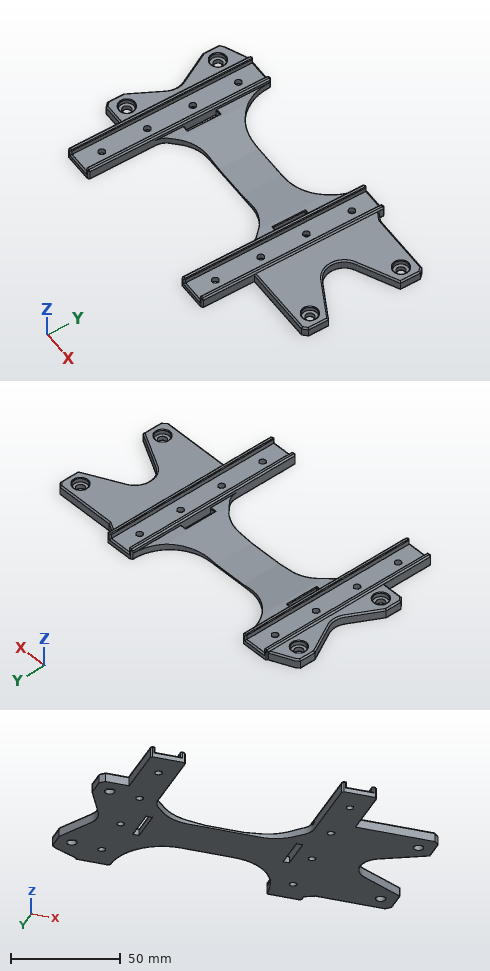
import cadquery as cq

mount_pitch_x = 150.0
mount_pitch_y = 50.0
mount_hole_diameter = 4.7
mount_bore_diameter = 8.0
mount_bore_depth = 2.5
rim_chamfer = 0.4
chamfer_angle = 45.0

rail_length = 100.5
rail_width = 17.0
rail_height = 5.8
rail_pitch = 93.0
rail_mid_x = -13.55
rail_mid_y = -11.5
rail_hole_mid_y = -11.25
channel_width = 12.3
channel_floor = 3.0
rail_chamfer = 0.8
rail_hole_diameter = 3.4
rail_hole_pitch = 25.0
rail_hole_count = 4

plate_thickness = 5.0
plate_chamfer = 0.8
plate_corner = 2.3
plate_margin_x = 7.4
plate_margin_y = 8.0
plate_x = mount_pitch_x / 2 + plate_margin_x
plate_y = mount_pitch_y / 2 + plate_margin_y
notch_radius = 10.0
left_notch_mouth = 21.7
left_notch_apex_x = -70.6
right_notch_mouth = 19.7
right_notch_apex_x = 43.9
left_top_corner_x = -80.4
left_top_corner_y = 32.3
left_rise_slope = 0.46
right_top_corner_x = 46.3
right_rise_slope = 0.50

bridge_top_y = 12.6
bridge_bottom_y = -9.3
bridge_top_radius = 25.0
bridge_bottom_bevel = 12.0
bridge_bottom_radius = 20.0
bridge_foot_radius = 9.0
bridge_middle_thickness = 1.0
bridge_end_thickness = 3.5
bridge_middle_half = 9.4
bridge_slope_half = 32.8

slot_length = 17.6
slot_mid_y = -0.5
slot_width = 3.0

left_rail_x = rail_mid_x - rail_pitch / 2
right_rail_x = rail_mid_x + rail_pitch / 2
bridge_half = (rail_pitch - rail_width) / 2
rail_wall = (rail_width - channel_width) / 2

wall_overlap = rail_wall / 2
left_plate_end = left_rail_x - rail_width / 2 + wall_overlap
right_plate_end = right_rail_x + rail_width / 2 - wall_overlap


def make_plate(outline, notch_apex_x):
    plate = cq.Workplane("XY").polyline(outline).close().extrude(plate_thickness)
    apex = cq.selectors.NearestToPointSelector((notch_apex_x, 0, plate_thickness / 2))
    plate = plate.edges("|Z").edges(apex).fillet(notch_radius)
    return plate.faces(">Z").edges().chamfer(plate_chamfer)


def make_left_plate():
    rise = (left_plate_end - left_top_corner_x) * left_rise_slope
    outline = [
        (left_plate_end, -plate_y),
        (-plate_x + plate_corner, -plate_y),
        (-plate_x, -plate_y + plate_corner),
        (-plate_x, -left_notch_mouth),
        (left_notch_apex_x, 0),
        (-plate_x, left_notch_mouth),
        (-plate_x, plate_y - plate_corner),
        (left_top_corner_x, left_top_corner_y),
        (left_plate_end, left_top_corner_y + rise),
    ]
    return make_plate(outline, left_notch_apex_x)


def make_right_plate():
    rise = (right_top_corner_x - right_plate_end) * right_rise_slope
    outline = [
        (right_plate_end, -plate_y),
        (plate_x - plate_corner, -plate_y),
        (plate_x, -plate_y + plate_corner),
        (plate_x, -right_notch_mouth),
        (right_notch_apex_x, 0),
        (plate_x, right_notch_mouth),
        (plate_x, plate_y - plate_corner),
        (plate_x - plate_corner, plate_y),
        (right_top_corner_x, plate_y),
        (right_plate_end, plate_y + rise),
    ]
    return make_plate(outline, right_notch_apex_x)


def make_bridge():
    half = bridge_half
    edge = half + wall_overlap
    top_straight = half - bridge_top_radius
    upper_end = bridge_top_y + bridge_top_radius
    bevel_x = half - bridge_bottom_bevel
    bevel_y = bridge_bottom_y - bridge_bottom_bevel
    lower_end = bevel_y - bridge_foot_radius
    plan = (
        cq.Workplane("XY")
        .moveTo(-edge, lower_end)
        .lineTo(-half, lower_end)
        .lineTo(-half, bevel_y)
        .lineTo(-bevel_x, bridge_bottom_y)
        .lineTo(bevel_x, bridge_bottom_y)
        .lineTo(half, bevel_y)
        .lineTo(half, lower_end)
        .lineTo(edge, lower_end)
        .lineTo(edge, upper_end)
        .lineTo(half, upper_end)
        .radiusArc((top_straight, bridge_top_y), bridge_top_radius)
        .lineTo(-top_straight, bridge_top_y)
        .radiusArc((-half, upper_end), bridge_top_radius)
        .lineTo(-edge, upper_end)
        .close()
        .extrude(rail_height)
    )
    for x, y, radius in (
        (bevel_x, bridge_bottom_y, bridge_bottom_radius),
        (half, bevel_y, bridge_foot_radius),
    ):
        for side in (-1, 1):
            corner = cq.selectors.NearestToPointSelector((side * x, y, rail_height / 2))
            plan = plan.edges("|Z").edges(corner).fillet(radius)
    profile = (
        cq.Workplane("XZ")
        .polyline([
            (-edge, 0),
            (edge, 0),
            (edge, bridge_end_thickness),
            (bridge_slope_half, bridge_end_thickness),
            (bridge_middle_half, bridge_middle_thickness),
            (-bridge_middle_half, bridge_middle_thickness),
            (-bridge_slope_half, bridge_end_thickness),
            (-edge, bridge_end_thickness),
        ])
        .close()
        .extrude(rail_length, both=True)
    )
    return plan.intersect(profile).translate((rail_mid_x, 0, 0))


def make_channel():
    inner = channel_width / 2
    lip = inner + rim_chamfer
    channel = (
        cq.Workplane("XZ", origin=(0, rail_length / 2, 0))
        .polyline([
            (-inner, channel_floor),
            (inner, channel_floor),
            (inner, rail_height - rim_chamfer),
            (lip, rail_height),
            (-lip, rail_height),
            (-inner, rail_height - rim_chamfer),
        ])
        .close()
        .extrude(rail_length)
    )
    flare_width = channel_width + 2 * rail_chamfer
    flare_bottom = channel_floor - rail_chamfer
    flare_height = 2 * (rail_height - flare_bottom)
    flare = (
        cq.Workplane("XZ", origin=(0, rail_length / 2, flare_bottom + flare_height / 2))
        .rect(flare_width, flare_height)
        .extrude(rail_chamfer, taper=chamfer_angle)
    )
    return channel.union(flare).union(flare.mirror("XZ"))


def make_rail(x):
    block = cq.Workplane("XY").box(rail_width, rail_length, rail_height, centered=(True, True, False))
    block = block.edges("|Z or >Z").chamfer(rail_chamfer)
    return block.cut(make_channel()).translate((x, rail_mid_y, 0))


def cut_rail_holes(body):
    for x in (left_rail_x, right_rail_x):
        body = body.cut(
            cq.Workplane("XY", origin=(x, rail_hole_mid_y, 0))
            .rarray(1, rail_hole_pitch, 1, rail_hole_count)
            .circle(rail_hole_diameter / 2)
            .extrude(rail_height)
        )
    return body


def cut_mount_holes(body):
    places = [
        (x, y)
        for x in (-mount_pitch_x / 2, mount_pitch_x / 2)
        for y in (-mount_pitch_y / 2, mount_pitch_y / 2)
    ]
    top = cq.Workplane("XY", origin=(0, 0, plate_thickness)).pushPoints(places)
    hole = top.circle(mount_hole_diameter / 2).extrude(-plate_thickness)
    bore = top.circle(mount_bore_diameter / 2).extrude(-mount_bore_depth)
    rim = top.circle(mount_bore_diameter / 2 + rim_chamfer).extrude(-rim_chamfer, taper=chamfer_angle)
    return body.cut(hole).cut(bore).cut(rim)


def cut_slots(bridge):
    for side in (-1, 1):
        x = rail_mid_x + side * (bridge_half - slot_width / 2)
        top = cq.Workplane("XY", origin=(x, slot_mid_y, bridge_end_thickness))
        opening = top.rect(slot_width, slot_length).extrude(-bridge_end_thickness)
        rim = (
            top.rect(slot_width + 2 * rim_chamfer, slot_length + 2 * rim_chamfer)
            .extrude(-rim_chamfer, taper=chamfer_angle)
        )
        bridge = bridge.cut(opening).cut(rim)
    return bridge


result = cut_slots(make_bridge()).union(make_left_plate()).union(make_right_plate())
result = result.union(make_rail(left_rail_x)).union(make_rail(right_rail_x))
result = cut_mount_holes(cut_rail_holes(result))